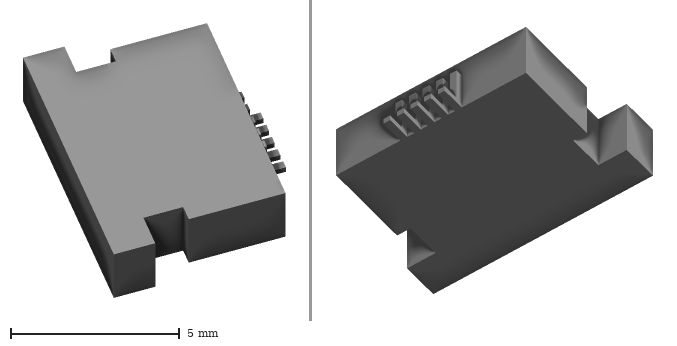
import cadquery as cq

height = 2.0
overall_depth = 6.45

bar_width = 8.1
bar_depth = 1.305
tongue_width = 6.0
tongue_depth = 1.25

housing_width = 7.0
core_width = 3.0
lip_depth = 0.05
block_depth = 3.0
block_width = (housing_width - core_width) / 2

contact_count = 5
contact_pitch = 0.5
contact_width = 0.25
contact_height = 1.4
stem_depth = 0.25
foot_thickness = 0.2

bar_back = bar_depth
lip_front = bar_back + tongue_depth
block_front = lip_front + lip_depth
housing_back = block_front + block_depth
stem_back = housing_back + stem_depth


def box_between(width, y_front, y_back, center_x=0.0):
    """Full-height box standing on Z = 0, centred on center_x."""
    return (
        cq.Workplane("XY")
        .box(width, y_back - y_front, height, centered=(True, False, False))
        .translate((center_x, y_front, 0))
    )


def make_actuator():
    bar = box_between(bar_width, 0, bar_back)
    tongue = box_between(tongue_width, bar_back, lip_front)
    return bar.union(tongue)


def make_housing_core():
    lip = box_between(housing_width, lip_front, block_front)
    core = box_between(core_width, block_front, housing_back)
    return lip.union(core)


def make_side_block(side):
    """Block beside the core; side is -1 for -X and +1 for +X."""
    center_x = side * (core_width + block_width) / 2
    return box_between(block_width, block_front, housing_back, center_x)


def make_contact(center_x):
    """Upright stem against the housing, with a foot reaching back at the bottom."""
    profile = [
        (housing_back, 0),
        (overall_depth, 0),
        (overall_depth, foot_thickness),
        (stem_back, foot_thickness),
        (stem_back, contact_height),
        (housing_back, contact_height),
    ]
    return (
        cq.Workplane("YZ")
        .polyline(profile)
        .close()
        .extrude(contact_width)
        .translate((center_x - contact_width / 2, 0, 0))
    )


actuator = make_actuator()
housing_core = make_housing_core()
side_blocks = [make_side_block(side) for side in (-1, 1)]

first_contact_x = -contact_pitch * (contact_count - 1) / 2
contacts = [make_contact(first_contact_x + i * contact_pitch) for i in range(contact_count)]

result = cq.Compound.makeCompound([
    actuator.val(),
    housing_core.val(),
    *[block.val() for block in side_blocks],
    *[contact.val() for contact in contacts],
])